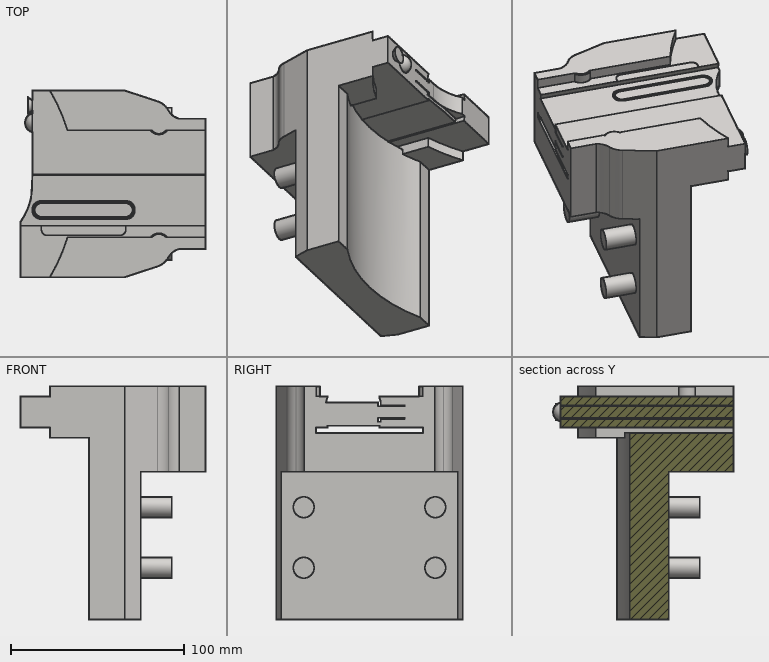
import cadquery as cq
import math

LENGTH = 107.0
WIDTH = 108.0
HEIGHT = 135.0
HALF_WIDTH = WIDTH / 2

RAIL_HEIGHT = 30.0
RAIL_INNER_Y = 30.9
RAIL_FRONT_X = 17.0
ARC_RADIUS = 105.5
RAIL_BOTTOM = HEIGHT - RAIL_HEIGHT

TAPER_START_X = 60.2
TAPER_END_X = 79.1
TAPER_END_Y = 47.8
SWEEP_MID_X = 85.4
SWEEP_MID_Y = 42.6
TAIL_START_X = 91.7
TAIL_HALF_WIDTH = 37.7
ROUND_SAG = 0.8

COLUMN_FRONT_X = 39.5
COLUMN_LIP_Y = 43.4
COLUMN_BACK_X = 69.6
COLUMN_TOP = 108.0
WING_BOTTOM = 85.4

SLAB_TOP = 129.0
SLAB_BOTTOM = 111.0
SLAB_MID_Z = (SLAB_TOP + SLAB_BOTTOM) / 2
SLAB_STEP_X = 6.9
FRONT_SWEEP_START_Y = -0.3
FRONT_SWEEP_END_Y = -22.0

CHANNEL_Y = -9.3
CHANNEL_HALF_WIDTH = 14.8
UNDERCUT = 1.0
UNDERCUT_DEPTH = 3.5
PLATE_TOP = SLAB_TOP - UNDERCUT_DEPTH
PLATE_BOTTOM = SLAB_BOTTOM + UNDERCUT_DEPTH
PLATE_EDGE_Y = 5.0
STRIP_BOTTOM = 112.0
STRIP_BEND_Y = -12.9
STRIP_BEND_X = 5.9
SLIT_HEIGHT = 0.5
SLIT_END_Y = 20.3
SLIT_OFFSET_Z = 3.65

GROOVE_START_X = 12.1
GROOVE_END_X = 60.9
GROOVE_Y = -15.1
GROOVE_OUTER_RADIUS = 5.3
GROOVE_WIDTH = 1.4
GROOVE_DEPTH = 1.0
RECESS_EDGE_Y = -29.8
RECESS_CORNER = 3.5
RECESS_DEPTH = 0.2

BUMP_X = 80.0
BUMP_Y = 34.5
BUMP_RADIUS = 6.0
BUMP_CHAMFER = 0.5

BALL_X = 8.2
BALL_Y = 35.3
BALL_RADIUS = 5.6
DISC_FRONT_X = 4.3
DISC_Y = 45.3
DISC_RADIUS = 4.9
DISC_NECK_RADIUS = 3.0

PIN_RADIUS = 6.0
PIN_END_X = 87.5
PIN_Y = 38.0
PIN_HEIGHTS = (30.0, 65.0)


def box(x_range, y_range, z_range):
    size = [high - low for low, high in (x_range, y_range, z_range)]
    corner = (x_range[0], y_range[0], z_range[0])
    return cq.Workplane("XY").box(*size, centered=False).translate(corner)


def bowed_point(start, end, sag):
    """Middle of an arc from start to end that bows to the left of its chord by sag."""
    run = end[0] - start[0]
    rise = end[1] - start[1]
    chord = math.hypot(run, rise)
    mid_x = (start[0] + end[0]) / 2 - rise / chord * sag
    mid_y = (start[1] + end[1]) / 2 + run / chord * sag
    return (mid_x, mid_y)


def side_outline(front_x, z_bottom, z_top):
    """Prism with the plan outline of the body, square at the front."""
    taper_end = (TAPER_END_X, TAPER_END_Y)
    sweep_mid = (SWEEP_MID_X, SWEEP_MID_Y)
    tail_start = (TAIL_START_X, TAIL_HALF_WIDTH)
    half = (
        cq.Workplane("XY", origin=(0, 0, z_bottom))
        .moveTo(front_x, 0)
        .lineTo(front_x, HALF_WIDTH)
        .lineTo(TAPER_START_X, HALF_WIDTH)
        .lineTo(*taper_end)
        .threePointArc(bowed_point(taper_end, sweep_mid, ROUND_SAG), sweep_mid)
        .threePointArc(bowed_point(sweep_mid, tail_start, -ROUND_SAG), tail_start)
        .lineTo(LENGTH, TAIL_HALF_WIDTH)
        .lineTo(LENGTH, 0)
        .close()
        .extrude(z_top - z_bottom)
    )
    return half.union(half.mirror("XZ"))


def arc_cylinder(point_x, point_y, z_bottom, z_top):
    """Cylinder centred on y = 0 whose rear surface passes through the given plan point."""
    axis_x = point_x - math.sqrt(ARC_RADIUS**2 - point_y**2)
    base = cq.Workplane("XY", origin=(axis_x, 0, z_bottom))
    return base.circle(ARC_RADIUS).extrude(z_top - z_bottom)


def column():
    body = side_outline(COLUMN_FRONT_X, 0, COLUMN_TOP)
    hollow = arc_cylinder(COLUMN_FRONT_X, COLUMN_LIP_Y, 0, COLUMN_TOP)
    behind = box((COLUMN_BACK_X, LENGTH), (-HALF_WIDTH, HALF_WIDTH), (0, WING_BOTTOM))
    return body.cut(hollow).cut(behind)


def rails():
    body = side_outline(RAIL_FRONT_X, RAIL_BOTTOM, HEIGHT)
    front = arc_cylinder(RAIL_FRONT_X, HALF_WIDTH, RAIL_BOTTOM, HEIGHT)
    gap = box((0, LENGTH), (-RAIL_INNER_Y, RAIL_INNER_Y), (RAIL_BOTTOM, HEIGHT))
    return body.cut(front).cut(gap)


def bump(side):
    return (
        cq.Workplane("XY", origin=(BUMP_X, side * BUMP_Y, SLAB_MID_Z))
        .circle(BUMP_RADIUS)
        .extrude(HEIGHT - SLAB_MID_Z)
        .faces(">Z")
        .chamfer(BUMP_CHAMFER)
    )


def front_step(z_bottom, z_top):
    """Material removed in front of the +Y part of the slab, with its curved run-out."""
    start = (SLAB_STEP_X, FRONT_SWEEP_START_Y)
    end = (0, FRONT_SWEEP_END_Y)
    sweep_radius = (SLAB_STEP_X**2 + (start[1] - end[1]) ** 2) / (2 * SLAB_STEP_X)
    half_angle = math.asin((start[1] - end[1]) / sweep_radius) / 2
    middle = (
        SLAB_STEP_X - sweep_radius * (1 - math.cos(half_angle)),
        start[1] - sweep_radius * math.sin(half_angle),
    )
    return (
        cq.Workplane("XY", origin=(0, 0, z_bottom))
        .moveTo(0, HALF_WIDTH)
        .lineTo(SLAB_STEP_X, HALF_WIDTH)
        .lineTo(*start)
        .threePointArc(middle, end)
        .close()
        .extrude(z_top - z_bottom)
    )


def channel(z_face, z_depth):
    """Half of the dovetail channel, open at z_face and undercut towards z_depth."""
    wide = CHANNEL_HALF_WIDTH + UNDERCUT
    points = [
        (CHANNEL_Y - CHANNEL_HALF_WIDTH, z_face),
        (CHANNEL_Y + CHANNEL_HALF_WIDTH, z_face),
        (CHANNEL_Y + wide, z_depth),
        (CHANNEL_Y - wide, z_depth),
    ]
    return cq.Workplane("YZ").polyline(points).close().extrude(LENGTH)


def slits():
    """Two thin slits that free the centre plate from the jaws of the +Y part."""
    cutter = cq.Workplane("XY")
    channel_edge = CHANNEL_Y + CHANNEL_HALF_WIDTH + UNDERCUT
    for side, jaw_z in ((1, PLATE_TOP), (-1, PLATE_BOTTOM)):
        slit_z = SLAB_MID_Z + side * SLIT_OFFSET_Z
        slit_inner = slit_z - side * SLIT_HEIGHT / 2
        slit_outer = slit_z + side * SLIT_HEIGHT / 2
        slit = box((0, LENGTH), (PLATE_EDGE_Y, SLIT_END_Y), sorted((slit_inner, slit_outer)))
        clearance = box((0, LENGTH), (PLATE_EDGE_Y, channel_edge), sorted((slit_inner, jaw_z)))
        cutter = cutter.add(slit.union(clearance))
    return cutter.combine()


def strip():
    """Thin strip under the centre plate, filling the lower dovetail channel."""
    plan = [
        (SLAB_STEP_X, HALF_WIDTH),
        (SLAB_STEP_X, CHANNEL_Y + CHANNEL_HALF_WIDTH),
        (STRIP_BEND_X, STRIP_BEND_Y),
        (STRIP_BEND_X, -HALF_WIDTH),
        (LENGTH, -HALF_WIDTH),
        (LENGTH, HALF_WIDTH),
    ]
    body = (
        cq.Workplane("XY", origin=(0, 0, STRIP_BOTTOM))
        .polyline(plan)
        .close()
        .extrude(PLATE_BOTTOM - STRIP_BOTTOM)
    )
    return body.intersect(channel(SLAB_BOTTOM, PLATE_BOTTOM))


def oblong_taper(mouth_radius, floor_radius):
    """Oblong along X that sinks into the plate, changing from mouth to floor radius."""
    span = GROOVE_END_X - GROOVE_START_X
    centre = ((GROOVE_START_X + GROOVE_END_X) / 2, GROOVE_Y, PLATE_TOP)
    return (
        cq.Workplane("XY", origin=centre)
        .slot2D(span + 2 * mouth_radius, 2 * mouth_radius)
        .workplane(offset=-GROOVE_DEPTH)
        .slot2D(span + 2 * floor_radius, 2 * floor_radius)
        .loft(ruled=True)
    )


def ring_groove():
    """V-shaped groove around an oblong island."""
    valley_radius = GROOVE_OUTER_RADIUS - GROOVE_WIDTH / 2
    island_radius = GROOVE_OUTER_RADIUS - GROOVE_WIDTH
    outer = oblong_taper(GROOVE_OUTER_RADIUS, valley_radius)
    return outer.cut(oblong_taper(island_radius, valley_radius))


def finger_recess():
    """Recess in the -Y part, open towards the dovetail channel."""
    block = box(
        (GROOVE_START_X, GROOVE_END_X),
        (RECESS_EDGE_Y, CHANNEL_Y - CHANNEL_HALF_WIDTH + UNDERCUT),
        (SLAB_TOP - RECESS_DEPTH, SLAB_TOP),
    )
    return block.edges("|Z and <Y").fillet(RECESS_CORNER)


def slab():
    body = side_outline(0, SLAB_BOTTOM, SLAB_TOP)
    body = body.cut(front_step(SLAB_BOTTOM, SLAB_TOP))
    body = body.cut(channel(SLAB_TOP, PLATE_TOP))
    body = body.cut(channel(SLAB_BOTTOM, PLATE_BOTTOM))
    return body.cut(slits()).union(strip()).cut(ring_groove()).cut(finger_recess())


def ball():
    return cq.Workplane("XY").sphere(BALL_RADIUS).translate((BALL_X, BALL_Y, SLAB_MID_Z))


def flared_disc():
    return (
        cq.Workplane("YZ", origin=(DISC_FRONT_X, DISC_Y, SLAB_MID_Z))
        .circle(DISC_RADIUS)
        .workplane(offset=SLAB_STEP_X - DISC_FRONT_X)
        .circle(DISC_NECK_RADIUS)
        .loft()
    )


def pin(side, height):
    return (
        cq.Workplane("YZ", origin=(COLUMN_BACK_X, side * PIN_Y, height))
        .circle(PIN_RADIUS)
        .extrude(PIN_END_X - COLUMN_BACK_X)
    )


result = column().union(rails()).union(slab()).union(ball()).union(flared_disc())
for side in (-1, 1):
    result = result.union(bump(side))
    for pin_height in PIN_HEIGHTS:
        result = result.union(pin(side, pin_height))